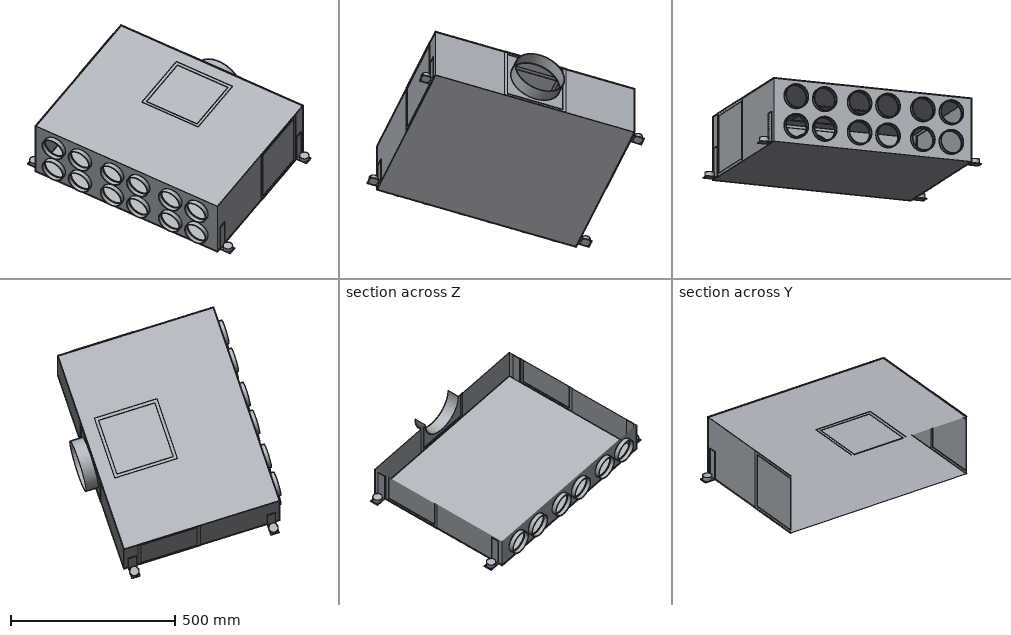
import cadquery as cq

TOTAL_WIDTH = 723.0
TOTAL_HEIGHT = 202.0

WALL = 2.0
FLOOR = 1.0
COVER = 1.0
SPIGOT_WALL = 2.0
FOOT_SHEET = 2.0

BOX_WIDTH = 650.0
BOX_DEPTH = 499.5
BOX_HEIGHT = TOTAL_HEIGHT - COVER
SIDE_X = BOX_WIDTH / 2
FRONT_Y = -BOX_DEPTH / 2
BACK_Y = BOX_DEPTH / 2
MID_Z = BOX_HEIGHT / 2

COVER_SIZE = 200.0
WINDOW_SIZE = 180.0
COVER_BACK_DISTANCE = 45.0
COVER_CENTER_Y = BACK_Y - COVER_BACK_DISTANCE - COVER_SIZE / 2

INLET_DIAMETER = 161.0
INLET_LENGTH = 40.5

OUTLET_DIAMETER = 75.0
OUTLET_LENGTH = 14.5
OUTLET_PITCH = 93.0
OUTLET_GROUP_PITCH = 207.5

FOOT_EDGE_DISTANCE = 27.5
FOOT_WIDTH = 27.0
FOOT_HEIGHT = 97.5
FOOT_REACH = (TOTAL_WIDTH - BOX_WIDTH) / 2
FOOT_Y = BACK_Y - FOOT_EDGE_DISTANCE
PAD_DIAMETER = 29.0
PAD_TOP = 16.0
PAD_WALL_DISTANCE = 20.0


def block(x_size, y_size, z_size, center):
    """Rectangular block about its center point."""
    return cq.Workplane("XY").box(x_size, y_size, z_size).translate(center)


def cylinder_along_y(diameter, y_start, y_end, x, z):
    """Solid cylinder parallel to Y."""
    return cq.Workplane("XZ", origin=(x, y_start, z)).circle(diameter / 2).extrude(y_start - y_end)


def outlet_centers():
    """X and Z of every outlet spigot."""
    return [
        (group * OUTLET_GROUP_PITCH + column * OUTLET_PITCH / 2, MID_Z + row * OUTLET_PITCH / 2)
        for group in (-1, 0, 1)
        for column in (-1, 1)
        for row in (-1, 1)
    ]


def make_box():
    """Closed thin-walled box."""
    outside = block(BOX_WIDTH, BOX_DEPTH, BOX_HEIGHT, (0, 0, MID_Z))
    cavity_height = BOX_HEIGHT - FLOOR - WALL
    cavity_z = FLOOR + cavity_height / 2
    return outside.cut(block(BOX_WIDTH - 2 * WALL, BOX_DEPTH - 2 * WALL, cavity_height, (0, 0, cavity_z)))


def cover_wall(body, normal, wall_point):
    """Cut a window through the wall behind wall_point and lay a cover over it.

    normal is the outward axis direction and wall_point lies on the outer wall face.
    """

    def square_plate(size, thickness, outward_shift):
        sizes = [thickness if component else size for component in normal]
        center = [point + component * outward_shift for point, component in zip(wall_point, normal)]
        return block(*sizes, tuple(center))

    window = square_plate(WINDOW_SIZE, WALL, -WALL / 2)
    cover = square_plate(COVER_SIZE, COVER, COVER / 2)
    return body.cut(window).union(cover)


def add_spigot(body, diameter, y_inside, y_end, x, z):
    """Add an open pipe to a wall; the bore also passes through the wall to y_inside."""
    wall_y = BACK_Y if y_end > 0 else FRONT_Y
    pipe = cylinder_along_y(diameter, wall_y, y_end, x, z)
    bore = cylinder_along_y(diameter - 2 * SPIGOT_WALL, y_inside, y_end, x, z)
    return body.union(pipe).cut(bore)


def make_foot(x_side, y_side):
    """One corner foot; x_side and y_side are -1 or 1."""
    y = y_side * FOOT_Y
    strip_x = x_side * (SIDE_X + FOOT_SHEET / 2)
    flange_x = x_side * (SIDE_X + FOOT_REACH / 2)
    pad_x = x_side * (SIDE_X + PAD_WALL_DISTANCE)
    strip = block(FOOT_SHEET, FOOT_WIDTH, FOOT_HEIGHT, (strip_x, y, FOOT_HEIGHT / 2))
    flange = block(FOOT_REACH, FOOT_WIDTH, FOOT_SHEET, (flange_x, y, FOOT_SHEET / 2))
    pad = (
        cq.Workplane("XY", origin=(pad_x, y, FOOT_SHEET))
        .circle(PAD_DIAMETER / 2)
        .extrude(PAD_TOP - FOOT_SHEET)
    )
    return strip.union(flange).union(pad)


result = make_box()

for side in (-1, 1):
    result = cover_wall(result, (side, 0, 0), (side * SIDE_X, COVER_CENTER_Y, MID_Z))
result = cover_wall(result, (0, 0, 1), (0, COVER_CENTER_Y, BOX_HEIGHT))
result = cover_wall(result, (0, 1, 0), (0, BACK_Y, MID_Z))

result = add_spigot(result, INLET_DIAMETER, BACK_Y - WALL, BACK_Y + INLET_LENGTH, 0, MID_Z)
for outlet_x, outlet_z in outlet_centers():
    result = add_spigot(
        result, OUTLET_DIAMETER, FRONT_Y + WALL, FRONT_Y - OUTLET_LENGTH, outlet_x, outlet_z
    )

for x_side in (-1, 1):
    for y_side in (-1, 1):
        result = result.union(make_foot(x_side, y_side))